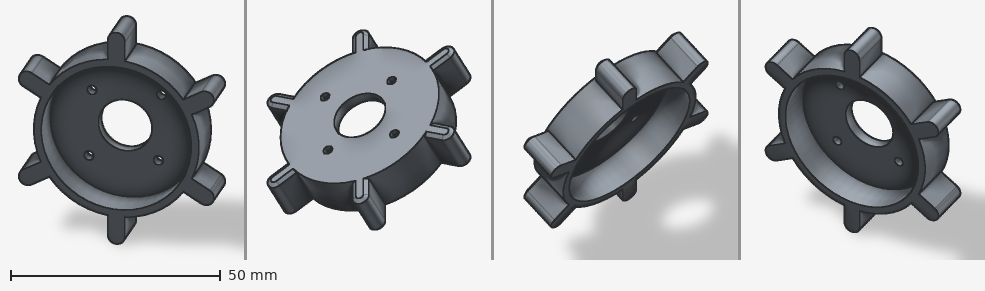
import cadquery as cq
import math

depth = 10.8
tip_radius = 27.55
rim_radius = 20.45
back_rim_radius = 20.5
wall = 1.9
floor_thickness = 2.8
bore_radius = 6.6

paddle_count = 6
paddle_width = 4.25
chamfer_depth = 0.65
chamfer_inset = 1.15

hole_diameter = 2.3
short_pair_radius = 11.65
long_pair_radius = 12.7

front_y = -depth / 2
back_y = depth / 2


def cylinder(radius, start_y, end_y):
    """Cylinder on the wheel axis between two Y positions."""
    base = cq.Workplane("XZ", origin=(0, start_y, 0))
    return base.circle(radius).extrude(start_y - end_y)


def tapered_drum():
    """Solid drum that widens slightly from the open front to the back."""
    profile = (
        cq.Workplane("XY")
        .moveTo(0, front_y)
        .lineTo(rim_radius, front_y)
        .lineTo(back_rim_radius, back_y)
        .lineTo(0, back_y)
        .close()
    )
    return profile.revolve(360, (0, 0, 0), (0, 1, 0))


def paddle(angle):
    """Round-tipped paddle from the axis outwards, turned about Y."""
    half_width = paddle_width / 2
    straight_end = tip_radius - half_width
    blank = (
        cq.Workplane("XZ", origin=(0, front_y, 0))
        .moveTo(-half_width, 0)
        .lineTo(-half_width, straight_end)
        .threePointArc((0, tip_radius), (half_width, straight_end))
        .lineTo(half_width, 0)
        .close()
        .extrude(-depth)
    )
    blank = blank.faces(">Y").edges().chamfer(chamfer_depth, chamfer_inset)
    return blank.rotate((0, 0, 0), (0, 1, 0), angle)


def mounting_holes():
    """Cutters for the four holes through the floor."""
    points = []
    for radius, angle in ((long_pair_radius, 45), (short_pair_radius, 135)):
        x = radius * math.cos(math.radians(angle))
        z = radius * math.sin(math.radians(angle))
        points += [(x, z), (-x, -z)]
    base = cq.Workplane("XZ", origin=(0, front_y, 0))
    return base.pushPoints(points).circle(hole_diameter / 2).extrude(-depth)


body = tapered_drum()
for index in range(paddle_count):
    body = body.union(paddle(index * 360 / paddle_count))

cavity = cylinder(rim_radius - wall, front_y, back_y - floor_thickness)
bore = cylinder(bore_radius, front_y, back_y)
result = body.cut(cavity).cut(bore).cut(mounting_holes())